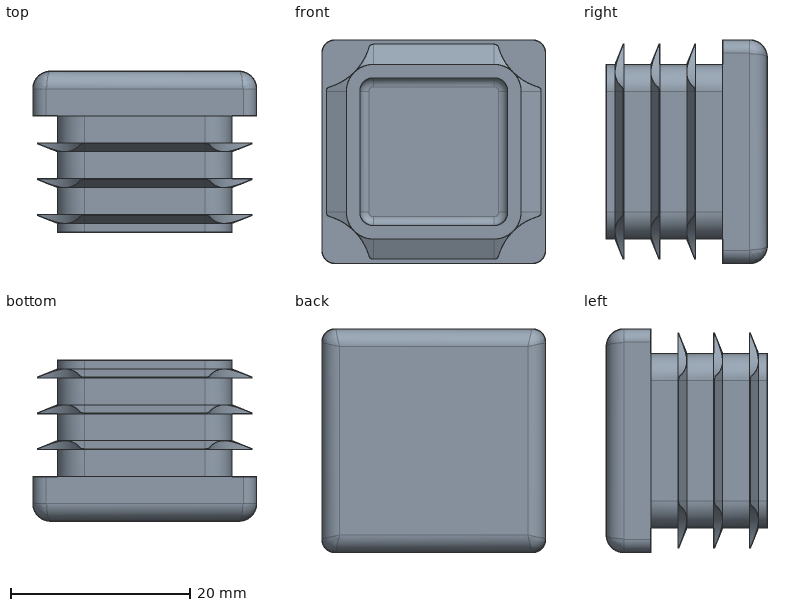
import cadquery as cq
import math

plate_side = 25.0
plate_thickness = 5.0
plate_corner_radius = 1.5
plate_edge_radius = 2.0

neck_side = 19.5
neck_length = 13.0
neck_corner_radius = 3.0
wall = 1.5
bore_floor_radius = 1.0

fin_count = 3
fin_pitch = 4.0
first_fin = 1.0
fin_width = 1.0
fin_tip_width = 0.1
fin_height = 2.25
fin_tip_radius = 0.5

corner_center = neck_side / 2 - neck_corner_radius


def rounded_block(side, radius, start, length):
    """Square block with rounded corners, running along +Y from y = start."""
    block = cq.Workplane("XZ", origin=(0, start, 0)).rect(side, side).extrude(-length)
    return block.edges("|Y").fillet(radius)


def make_plate():
    """Plate whose outer rim is rounded first, then its four corners."""
    plate = (
        cq.Workplane("XZ", origin=(0, neck_length, 0))
        .rect(plate_side, plate_side)
        .extrude(-plate_thickness)
    )
    plate = plate.faces(">Y").edges().fillet(plate_edge_radius)
    return plate.edges("|Y").fillet(plate_corner_radius)


def make_bore():
    """Square pocket from the open end down to the plate, with a rounded floor."""
    bore = rounded_block(neck_side - 2 * wall, neck_corner_radius - wall, 0, neck_length)
    return bore.faces(">Y").edges().fillet(bore_floor_radius)


def make_fin_outline():
    """Closed fin outline: four straight tips joined by hollow arcs that touch the neck corners."""
    tip = neck_corner_radius + fin_height - fin_tip_radius
    root = neck_corner_radius - fin_tip_radius
    hollow = (tip**2 - root**2) / (2 * (tip - math.sqrt(2) * root))
    angle = math.atan2(hollow - tip, hollow)

    straight_end = (corner_center, corner_center + tip + fin_tip_radius)
    tip_middle_angle = (math.pi / 2 + angle) / 2
    tip_middle = (
        corner_center + fin_tip_radius * math.cos(tip_middle_angle),
        corner_center + tip + fin_tip_radius * math.sin(tip_middle_angle),
    )
    tip_end = (
        corner_center + fin_tip_radius * math.cos(angle),
        corner_center + tip + fin_tip_radius * math.sin(angle),
    )
    touch = corner_center + neck_corner_radius / math.sqrt(2)

    def turned(point, quarter):
        x, z = point
        for _ in range(quarter):
            x, z = z, -x
        return x, z

    def mirrored(point):
        return point[1], point[0]

    outline = cq.Workplane("XZ").moveTo(*straight_end)
    for quarter in range(4):
        outline = (
            outline.threePointArc(turned(tip_middle, quarter), turned(tip_end, quarter))
            .threePointArc(turned((touch, touch), quarter), turned(mirrored(tip_end), quarter))
            .threePointArc(
                turned(mirrored(tip_middle), quarter), turned(mirrored(straight_end), quarter)
            )
        )
        if quarter < 3:
            outline = outline.lineTo(*turned(straight_end, quarter + 1))
    return outline.close()


def make_fin(start):
    """Fin that slopes outward from the neck at y = start to a thin flat-backed tip."""
    slope_width = fin_width - fin_tip_width
    tip_side = neck_side + 2 * fin_height
    tip_corner_radius = neck_corner_radius + fin_height
    root_sketch = cq.Sketch().rect(neck_side, neck_side).vertices().fillet(neck_corner_radius)
    tip_sketch = cq.Sketch().rect(tip_side, tip_side).vertices().fillet(tip_corner_radius)
    slope = (
        cq.Workplane("XZ", origin=(0, start, 0))
        .placeSketch(root_sketch, tip_sketch.moved(cq.Location(cq.Vector(0, 0, -slope_width))))
        .loft(ruled=True)
    )
    land = rounded_block(tip_side, tip_corner_radius, start + slope_width, fin_tip_width)
    outline = make_fin_outline().extrude(-neck_length)
    return slope.union(land).intersect(outline)


result = rounded_block(neck_side, neck_corner_radius, 0, neck_length).union(make_plate())
for index in range(fin_count):
    result = result.union(make_fin(first_fin + index * fin_pitch))
result = result.cut(make_bore())